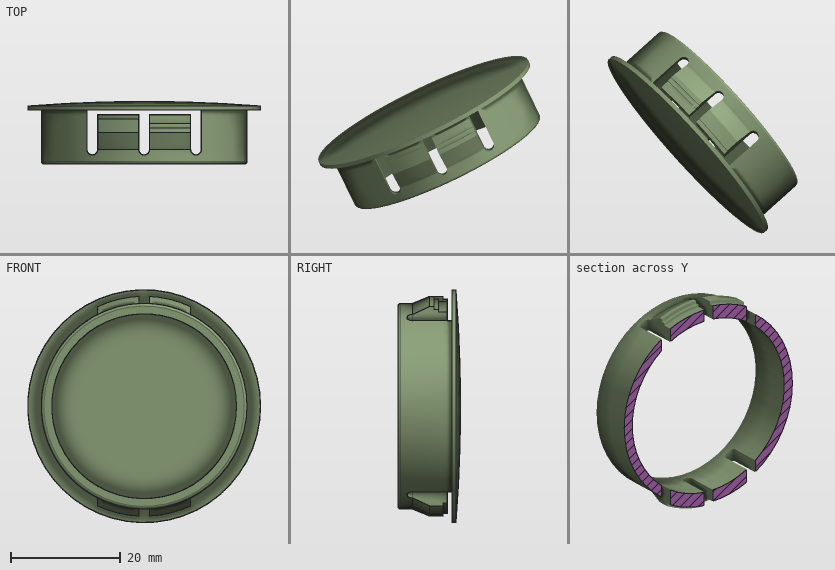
import cadquery as cq


flange_diameter = 42.7
flange_radius = flange_diameter / 2
flange_thickness = 0.75
dome_height = 0.85

skirt_radius = 18.85
skirt_wall = 1.92
skirt_length = 9.9
rim_fillet = 0.5
bore_radius = skirt_radius - skirt_wall

slot_width = 1.92
slot_depth = 8.2
slot_spacing = 9.5
window_gap = 0.85
slot_straight_depth = slot_depth - slot_width / 2

barb_radius = 20.15
upper_step_radius = 19.65
lower_step_radius = 19.25
single_step_depth = 1.6
lower_step_depth = 2.5
upper_step_depth = 3.3
ramp_start_depth = 4.1
ramp_end_depth = slot_straight_depth
tab_inner_x = slot_width / 2
tab_outer_x = slot_spacing - slot_width / 2
window_half_width = slot_spacing + slot_width / 2

single_step_tab = [(upper_step_radius, single_step_depth)]
double_step_tab = [(lower_step_radius, lower_step_depth), (upper_step_radius, upper_step_depth)]


def revolve_about_y(profile):
    return profile.close().revolve(360, (0, 0, 0), (0, 1, 0))


def box_between(x_min, x_max, y_min, y_max, z_min, z_max):
    box = cq.Workplane("XY").box(x_max - x_min, y_max - y_min, z_max - z_min, centered=False)
    return box.translate((x_min, y_min, z_min))


def make_cap():
    """Flat flange with a shallow spherical dome on its outer face."""
    dome_radius = (flange_radius**2 + dome_height**2) / (2 * dome_height)
    apex_y = flange_thickness + dome_height
    mid_x = flange_radius / 2
    mid_y = apex_y - dome_radius + (dome_radius**2 - mid_x**2) ** 0.5
    profile = (
        cq.Workplane("XY")
        .lineTo(flange_radius, 0)
        .lineTo(flange_radius, flange_thickness)
        .threePointArc((mid_x, mid_y), (0, apex_y))
    )
    return revolve_about_y(profile)


def make_skirt():
    """Tubular skirt with a rounded outer edge at its open end."""
    tube = cq.Workplane("XZ").circle(skirt_radius).circle(bore_radius).extrude(skirt_length)
    return tube.faces("<Y").edges(cq.selectors.RadiusNthSelector(-1)).fillet(rim_fillet)


def cut_tab_openings(skirt):
    """Cut the round-ended slots and the gap behind the tabs through both sides of the skirt."""
    for x in (-slot_spacing, 0, slot_spacing):
        straight = box_between(
            x - slot_width / 2, x + slot_width / 2, -slot_straight_depth, 0, -flange_radius, flange_radius
        )
        round_end = (
            cq.Workplane("XY")
            .center(x, -slot_straight_depth)
            .circle(slot_width / 2)
            .extrude(flange_radius, both=True)
        )
        skirt = skirt.cut(straight).cut(round_end)
    gap = box_between(
        -window_half_width, window_half_width, -window_gap, 0, -flange_radius, flange_radius
    )
    return skirt.cut(gap)


def make_tab_barb(steps, x_side, z_side):
    """Raised, ramped and stepped barb over one tab, in the quadrant given by the two signs."""
    profile = cq.Workplane("XY").moveTo(bore_radius, -window_gap)
    start_depth = window_gap
    for radius, end_depth in steps:
        profile = profile.lineTo(radius, -start_depth).lineTo(radius, -end_depth)
        start_depth = end_depth
    profile = (
        profile.lineTo(barb_radius, -start_depth)
        .lineTo(barb_radius, -ramp_start_depth)
        .lineTo(skirt_radius, -ramp_end_depth)
        .lineTo(bore_radius, -ramp_end_depth)
    )
    x_min, x_max = sorted((x_side * tab_inner_x, x_side * tab_outer_x))
    z_min, z_max = sorted((0, z_side * flange_radius))
    tab_region = box_between(x_min, x_max, -skirt_length, 0, z_min, z_max)
    return revolve_about_y(profile).intersect(tab_region)


result = make_cap().union(cut_tab_openings(make_skirt()))

for x_side in (-1, 1):
    for z_side in (-1, 1):
        tab_steps = double_step_tab if x_side == z_side else single_step_tab
        result = result.union(make_tab_barb(tab_steps, x_side, z_side))